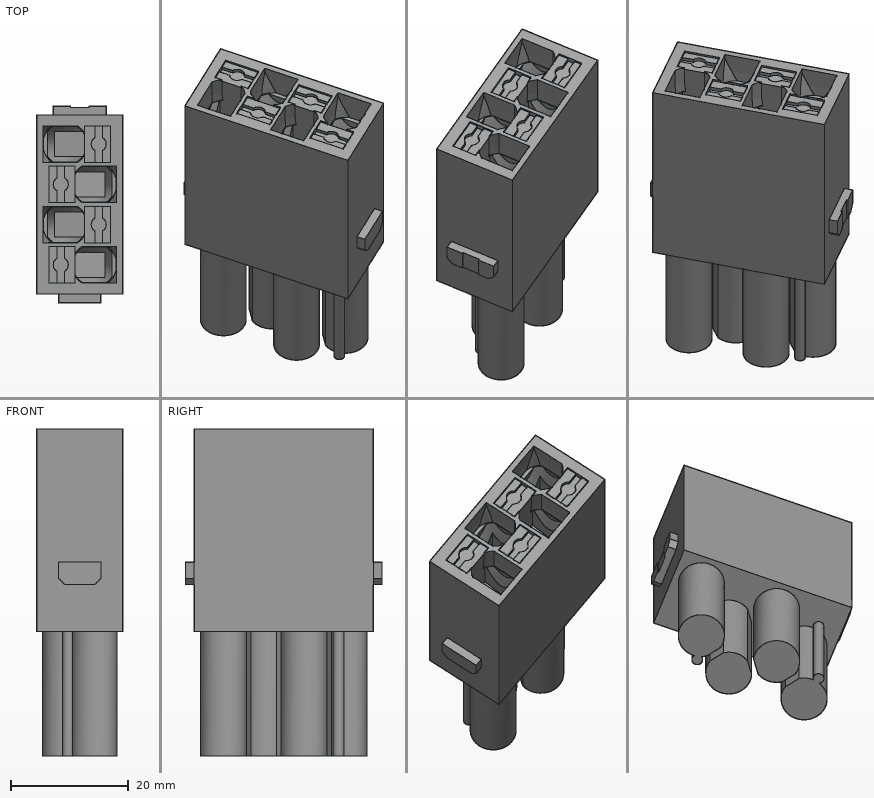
import cadquery as cq
import math


WIDTH = 14.6
LENGTH = 30.45
HEIGHT = 34.45

LENGTH_OVER_TABS = 33.4
TAB_REACH = (LENGTH_OVER_TABS - LENGTH) / 2
TAB_BOTTOM = 8.0
TAB_HEIGHT = 3.85
TAB_CHAMFER = 1.05
FRONT_TAB_WIDTH = 7.15
REAR_TAB_WIDTH = 9.0
NOTCH_WIDTH = 3.1
NOTCH_DEPTH = 0.2

POLE_PITCH = 6.85
SLEEVE_OFFSET = 2.45
POLE_COUNT = 4

SLEEVE_DIAMETER = 7.85
SLEEVE_RADIUS = SLEEVE_DIAMETER / 2
SLEEVE_LENGTH = 21.1
SLEEVE_FLAT_DISTANCE = 3.65
KEY_DIAMETER = 1.85
KEY_RADIUS = KEY_DIAMETER / 2
KEY_OFFSET_X = 4.45
KEY_OFFSET_Y = 0.95

CAVITY_WIDTH = 6.15
CAVITY_DEPTH = 13.35
ENTRY_OUTER_X = 6.3
ENTRY_RADIUS = 3.7
THROAT_TOP_DEPTH = 3.45
THROAT_TAPER = 3.0
ENTRY_DEPTH = 5.1
CORNER_TOP_RADIUS = 5.1
CORNER_BOTTOM_RADIUS = 3.85
FUNNEL_RADIUS = 3.65
FUNNEL_END_RADIUS = 1.65
FUNNEL_DEPTH = 4.45
FUNNEL_OUTER_X = 5.5

WELL_OUTER_X = 4.3
WELL_WIDTH = 4.3
CLAMP_HEIGHT = 2.8
CLAMP_TILT = 13.0

ACTUATOR_INNER_X = 0.85
ACTUATOR_OUTER_X = 5.2
ACTUATOR_SINK = 0.35
SLOT_X = 3.2
SLOT_WIDTH = 1.2
SLOT_HOLE_RADIUS = 1.3
SLOT_DEPTH = 0.6


def block(x_min, x_max, width, z_min, z_max):
    """Box from x_min to x_max and z_min to z_max, centred on Y = 0."""
    return (
        cq.Workplane("XY", origin=((x_min + x_max) / 2, 0, z_min))
        .rect(x_max - x_min, width)
        .extrude(z_max - z_min)
    )


def cylinder(x, y, radius, z_min, z_max):
    """Upright cylinder around the point x, y."""
    return cq.Workplane("XY", origin=(x, y, z_min)).circle(radius).extrude(z_max - z_min)


def cone(x, top_radius, bottom_radius, z_min, z_max):
    """Upright cone frustum around the point x on the X axis."""
    return cq.Workplane(cq.Solid.makeCone(bottom_radius, top_radius, z_max - z_min, cq.Vector(x, 0, z_min)))


def pole_y(index):
    return ((POLE_COUNT - 1) / 2 - index) * POLE_PITCH


def pole_side(index):
    """-1 for a sleeve on the -X side, +1 for one on the +X side."""
    return -1 if index % 2 == 0 else 1


def at_pole(shape, index):
    """Move a shape modelled at the origin, with its sleeve at -X, to its pole."""
    turn = 0 if pole_side(index) < 0 else 180
    return shape.rotate((0, 0, 0), (0, 0, 1), turn).translate((0, pole_y(index), 0))


def tab(width, y_direction):
    """Latch tab with both lower corners cut off, on one short side."""
    half = width / 2
    top = TAB_BOTTOM + TAB_HEIGHT
    outline = [
        (-half, top),
        (half, top),
        (half, TAB_BOTTOM + TAB_CHAMFER),
        (half - TAB_CHAMFER, TAB_BOTTOM),
        (TAB_CHAMFER - half, TAB_BOTTOM),
        (-half, TAB_BOTTOM + TAB_CHAMFER),
    ]
    plate = cq.Workplane("XZ").polyline(outline).close().extrude(-y_direction * TAB_REACH)
    return plate.translate((0, y_direction * LENGTH / 2, 0))


def rear_notch():
    """Shallow groove down the outer face of the rear tab."""
    notch_y = LENGTH / 2 + TAB_REACH
    notch = block(-NOTCH_WIDTH / 2, NOTCH_WIDTH / 2, 2 * NOTCH_DEPTH, TAB_BOTTOM, TAB_BOTTOM + TAB_HEIGHT)
    return notch.translate((0, notch_y, 0))


def sleeve(index):
    """Round sleeve with a flat facing each neighbouring sleeve."""
    x = pole_side(index) * SLEEVE_OFFSET
    y = pole_y(index)
    body = cylinder(x, y, SLEEVE_RADIUS, -SLEEVE_LENGTH, 0)
    for neighbour in (index - 1, index + 1):
        if 0 <= neighbour < POLE_COUNT:
            angle = math.degrees(math.atan2(pole_y(neighbour) - y, -2 * x))
            beyond_flat = block(
                SLEEVE_FLAT_DISTANCE, SLEEVE_DIAMETER, SLEEVE_DIAMETER, -SLEEVE_LENGTH, 0
            )
            body = body.cut(beyond_flat.rotate((0, 0, 0), (0, 0, 1), angle).translate((x, y, 0)))
    return body


def key(index):
    """Slender round key on the inner side of a sleeve."""
    side = pole_side(index)
    x = side * (SLEEVE_OFFSET - KEY_OFFSET_X)
    return cylinder(x, pole_y(index) - KEY_OFFSET_Y, KEY_RADIUS, -SLEEVE_LENGTH, 0)


def wire_entry():
    """Upper opening: square outside, round towards the actuator, with a tapered throat.

    A conical lead-in takes the outer corners over into the round floor of the throat.
    """
    throat_top = HEIGHT - THROAT_TOP_DEPTH
    bottom = HEIGHT - ENTRY_DEPTH
    square = block(-ENTRY_OUTER_X, -SLEEVE_OFFSET, CAVITY_WIDTH, throat_top, HEIGHT)
    round_end = cylinder(-SLEEVE_OFFSET, 0, ENTRY_RADIUS, throat_top, HEIGHT)
    band = block(-ENTRY_OUTER_X, ACTUATOR_OUTER_X, CAVITY_WIDTH, throat_top, HEIGHT)
    opening = square.union(round_end).intersect(band)
    throat = opening.faces("<Z").wires().toPending().extrude(
        bottom - throat_top, taper=THROAT_TAPER, combine=False
    )
    corners = cone(-SLEEVE_OFFSET, CORNER_TOP_RADIUS, CORNER_BOTTOM_RADIUS, bottom, HEIGHT)
    return opening.union(throat).intersect(corners)


def funnel():
    """Cone below the entry, trimmed flat on its outer side and both long sides."""
    top = HEIGHT - ENTRY_DEPTH
    bottom = top - FUNNEL_DEPTH
    limits = block(-FUNNEL_OUTER_X, ACTUATOR_INNER_X, CAVITY_WIDTH, bottom, top)
    return cone(-SLEEVE_OFFSET, FUNNEL_RADIUS, FUNNEL_END_RADIUS, bottom, top).intersect(limits)


def well():
    """Rectangular shaft that carries on below the funnel."""
    return block(-WELL_OUTER_X, ACTUATOR_INNER_X, WELL_WIDTH, HEIGHT - CAVITY_DEPTH, HEIGHT - ENTRY_DEPTH)


def actuator_shaft():
    return block(ACTUATOR_INNER_X, ACTUATOR_OUTER_X, CAVITY_WIDTH, HEIGHT - CAVITY_DEPTH, HEIGHT)


def make_housing():
    body = block(-WIDTH / 2, WIDTH / 2, LENGTH, 0, HEIGHT)
    body = body.union(tab(FRONT_TAB_WIDTH, -1)).union(tab(REAR_TAB_WIDTH, 1)).cut(rear_notch())
    for index in range(POLE_COUNT):
        body = body.union(sleeve(index))
    for end_pole in (0, POLE_COUNT - 1):
        body = body.union(key(end_pole))
    for index in range(POLE_COUNT):
        for cavity in (wire_entry(), funnel(), well(), actuator_shaft()):
            body = body.cut(at_pole(cavity, index))
    return body


def make_actuator(index):
    top = HEIGHT - ACTUATOR_SINK
    body = block(ACTUATOR_INNER_X, ACTUATOR_OUTER_X, CAVITY_WIDTH, HEIGHT - CAVITY_DEPTH, top)
    slot = block(SLOT_X - SLOT_WIDTH / 2, SLOT_X + SLOT_WIDTH / 2, CAVITY_WIDTH, top - SLOT_DEPTH, top)
    hole = cylinder(SLOT_X, 0, SLOT_HOLE_RADIUS, top - SLOT_DEPTH, top)
    return at_pole(body.cut(slot).cut(hole), index)


def make_clamp(index):
    bottom = HEIGHT - CAVITY_DEPTH
    inner_top = bottom + CLAMP_HEIGHT
    drop = (WELL_OUTER_X + ACTUATOR_INNER_X) * math.tan(math.radians(CLAMP_TILT))
    outline = [
        (-WELL_OUTER_X, bottom),
        (ACTUATOR_INNER_X, bottom),
        (ACTUATOR_INNER_X, inner_top),
        (-WELL_OUTER_X, inner_top - drop),
    ]
    body = cq.Workplane("XZ").polyline(outline).close().extrude(WELL_WIDTH / 2, both=True)
    return at_pole(body, index)


housing = make_housing()
actuators = [make_actuator(index) for index in range(POLE_COUNT)]
clamps = [make_clamp(index) for index in range(POLE_COUNT)]

result = cq.Compound.makeCompound([housing.val(), *[body.val() for body in actuators + clamps]])